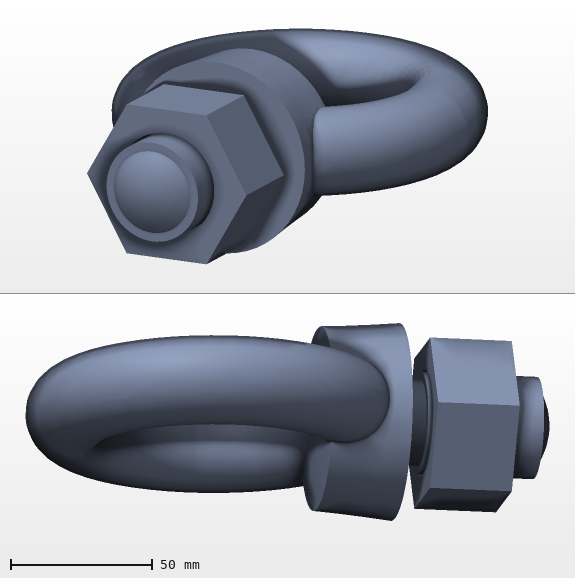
import cadquery as cq
import math

ring_outer_radius = 66.49
ring_inner_radius = 35.0
wire_radius = (ring_outer_radius - ring_inner_radius) / 2
ring_mean_radius = ring_inner_radius + wire_radius

collar_base_radius = 34.97
collar_rim_radius = 32.6
collar_dome_y = -ring_inner_radius
collar_rim_y = -37.1
collar_base_y = -65.0

neck_radius = 15.1
neck_end_y = -73.7
thread_radius = 18.0
thread_end_y = -115.3
tip_radius = 15.0
tip_end_y = ring_outer_radius - 186.5

nut_across_flats = 54.6
nut_across_corners = nut_across_flats / math.cos(math.pi / 6)
nut_bore_radius = 18.8
nut_top_y = -74.8
nut_thickness = 29.3


def spherical_cap_middle(rim_radius, rim_y, crown_y):
    """Point halfway along the arc of a spherical cap, in the XY plane."""
    height = abs(crown_y - rim_y)
    sphere_radius = (rim_radius**2 + height**2) / (2 * height)
    direction = 1 if crown_y > rim_y else -1
    middle_x = rim_radius / 2
    sphere_centre_y = crown_y - direction * sphere_radius
    return middle_x, sphere_centre_y + direction * math.sqrt(sphere_radius**2 - middle_x**2)


def make_ring():
    return cq.Workplane("XY").add(cq.Solid.makeTorus(ring_mean_radius, wire_radius))


def make_collar_and_shank():
    """Collar, neck, thread and domed tip turned about the Y axis."""
    dome_middle = spherical_cap_middle(collar_rim_radius, collar_rim_y, collar_dome_y)
    tip_middle = spherical_cap_middle(tip_radius, thread_end_y, tip_end_y)
    return (
        cq.Workplane("XY")
        .moveTo(0, collar_dome_y)
        .threePointArc(dome_middle, (collar_rim_radius, collar_rim_y))
        .lineTo(collar_base_radius, collar_base_y)
        .lineTo(neck_radius, collar_base_y)
        .lineTo(neck_radius, neck_end_y)
        .lineTo(thread_radius, neck_end_y)
        .lineTo(thread_radius, thread_end_y)
        .lineTo(tip_radius, thread_end_y)
        .threePointArc(tip_middle, (0, tip_end_y))
        .close()
        .revolve(360, (0, 0), (0, 1))
    )


def make_eye_bolt():
    return make_ring().union(make_collar_and_shank())


def make_nut():
    """Hexagon with corners on the X axis and a plain clearance bore."""
    return (
        cq.Workplane("XZ", origin=(0, nut_top_y, 0))
        .polygon(6, nut_across_corners)
        .circle(nut_bore_radius)
        .extrude(nut_thickness)
    )


eye_bolt = make_eye_bolt()
nut = make_nut()

result = cq.Compound.makeCompound([eye_bolt.solids().val(), nut.val()])